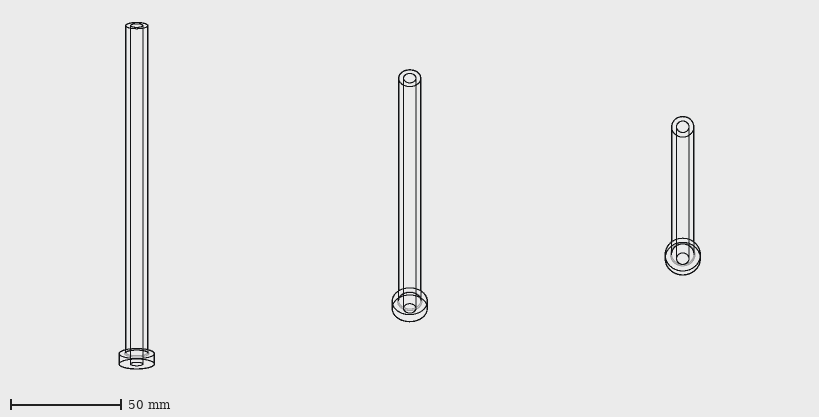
import cadquery as cq

total_length = 160.0
head_diameter = 16.0
head_height = 5.0
shaft_diameter = 10.0
bore_diameter = 5.6
neck_fillet_radius = 0.5

head_radius = head_diameter / 2
shaft_radius = shaft_diameter / 2
bore_radius = bore_diameter / 2


def sleeve_half_section():
    """Wall section in the XZ plane, with a small fillet where the shaft meets the head."""
    return (
        cq.Workplane("XZ")
        .moveTo(bore_radius, 0)
        .lineTo(head_radius, 0)
        .lineTo(head_radius, head_height)
        .lineTo(shaft_radius + neck_fillet_radius, head_height)
        .radiusArc((shaft_radius, head_height + neck_fillet_radius), neck_fillet_radius)
        .lineTo(shaft_radius, total_length)
        .lineTo(bore_radius, total_length)
        .close()
    )


result = sleeve_half_section().revolve(360, (0, 0, 0), (0, 1, 0))